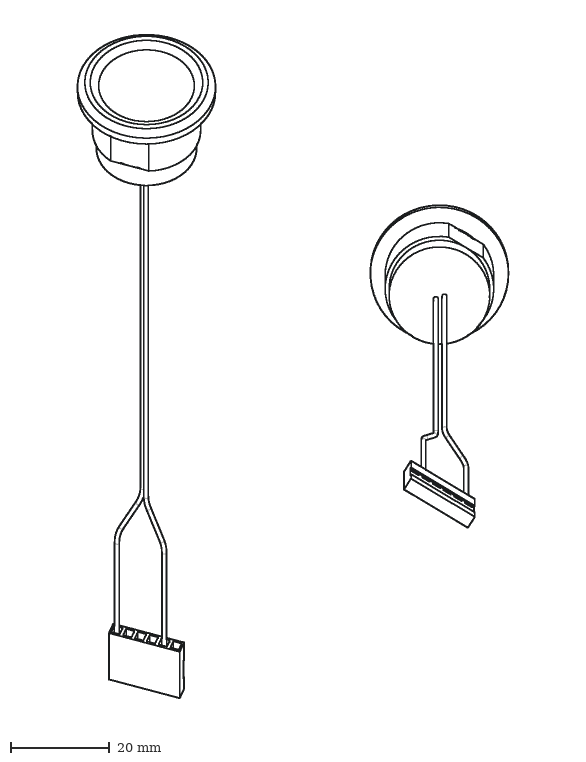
import cadquery as cq
import math

TOP_Z = 0.0
TOTAL_HEIGHT = 184.0

FLANGE_DIAMETER = 28.0
FLANGE_HEIGHT = 3.0
FLANGE_EDGE_WIDTH = 1.5
FLANGE_EDGE_HEIGHT = 1.2
RECESS_RIM_DIAMETER = 22.8
RECESS_FLOOR_DIAMETER = 19.4
RECESS_DEPTH = 1.0
BODY_DIAMETER = 20.4
HEAD_HEIGHT = 20.0
COLLAR_DIAMETER = 22.0
COLLAR_TOP_DEPTH = 3.85
COLLAR_BOTTOM_DEPTH = 14.65

CONNECTOR_THICKNESS = 2.7
CONNECTOR_HEIGHT = 14.2
SOCKET_COUNT = 6
SOCKET_PITCH = 2.54
SOCKET_SIZE = 1.8
SOCKET_DEPTH = 6.0
CONNECTOR_WIDTH = SOCKET_COUNT * SOCKET_PITCH
NOTCH_DEPTH = 0.3
NOTCH_HEIGHT = 5.3
NOTCH_CENTER_DEPTH = 8.0

WIRE_DIAMETER = 1.0
PAIR_OFFSET_X = 0.6
PAIR_OFFSET_Y = 0.7
PAIR_CENTER_X = -0.35
PAIR_CENTER_Y = -0.3
SPREAD_TOP_Z = TOP_Z - 127.2
SPREAD_BOTTOM_Z = TOP_Z - 140.4
LEFT_WIRE_SOCKET = 0
RIGHT_WIRE_SOCKET = 4
WIRE_BEND_RADIUS = 13.0

BODY_BOTTOM_Z = TOP_Z - HEAD_HEIGHT
CONNECTOR_BOTTOM_Z = TOP_Z - TOTAL_HEIGHT
CONNECTOR_TOP_Z = CONNECTOR_BOTTOM_Z + CONNECTOR_HEIGHT
SOCKET_FLOOR_Z = CONNECTOR_TOP_Z - SOCKET_DEPTH


def make_head():
    flange_radius = FLANGE_DIAMETER / 2
    body_radius = BODY_DIAMETER / 2
    profile = [
        (0, BODY_BOTTOM_Z),
        (body_radius, BODY_BOTTOM_Z),
        (body_radius, TOP_Z - FLANGE_HEIGHT),
        (flange_radius, TOP_Z - FLANGE_HEIGHT),
        (flange_radius, TOP_Z - FLANGE_EDGE_HEIGHT),
        (flange_radius - FLANGE_EDGE_WIDTH, TOP_Z),
        (RECESS_RIM_DIAMETER / 2, TOP_Z),
        (RECESS_FLOOR_DIAMETER / 2, TOP_Z - RECESS_DEPTH),
        (0, TOP_Z - RECESS_DEPTH),
    ]
    turned = cq.Workplane("XZ").polyline(profile).close().revolve(360, (0, 0), (0, 1))
    collar_height = COLLAR_BOTTOM_DEPTH - COLLAR_TOP_DEPTH
    collar_base = cq.Workplane("XY", origin=(0, 0, TOP_Z - COLLAR_BOTTOM_DEPTH))
    collar = collar_base.circle(COLLAR_DIAMETER / 2).extrude(collar_height)
    flats = collar_base.rect(COLLAR_DIAMETER, BODY_DIAMETER).extrude(collar_height)
    return turned.union(collar.intersect(flats))


def make_connector():
    block = (
        cq.Workplane("XY", origin=(0, 0, CONNECTOR_BOTTOM_Z))
        .rect(CONNECTOR_WIDTH, CONNECTOR_THICKNESS)
        .extrude(CONNECTOR_HEIGHT)
    )
    notch_z = CONNECTOR_TOP_Z - NOTCH_CENTER_DEPTH
    notch = cq.Workplane(origin=(0, CONNECTOR_THICKNESS / 2, notch_z)).box(
        CONNECTOR_WIDTH, 2 * NOTCH_DEPTH, NOTCH_HEIGHT
    )
    sockets = (
        cq.Workplane("XY", origin=(0, 0, SOCKET_FLOOR_Z))
        .rarray(SOCKET_PITCH, 1, SOCKET_COUNT, 1)
        .rect(SOCKET_SIZE, SOCKET_SIZE)
        .extrude(SOCKET_DEPTH)
    )
    return block.cut(notch).cut(sockets)


def socket_x(index):
    return (index - (SOCKET_COUNT - 1) / 2) * SOCKET_PITCH


def make_wire(top_x, top_y, socket):
    """Round wire from the head to the floor of a socket, with a bend at each end of its slope."""
    end_x = socket_x(socket)
    start = cq.Vector(top_x, top_y, BODY_BOTTOM_Z)
    upper_corner = cq.Vector(top_x, top_y, SPREAD_TOP_Z)
    lower_corner = cq.Vector(end_x, 0, SPREAD_BOTTOM_Z)
    end = cq.Vector(end_x, 0, SOCKET_FLOOR_Z)

    down = cq.Vector(0, 0, -1)
    slope = (lower_corner - upper_corner).normalized()
    bend_angle = down.getAngle(slope)
    tangent_length = WIRE_BEND_RADIUS * math.tan(bend_angle / 2)
    corner_to_arc = WIRE_BEND_RADIUS / math.cos(bend_angle / 2) - WIRE_BEND_RADIUS
    inward = (slope - down).normalized()

    upper_in = upper_corner - down * tangent_length
    upper_mid = upper_corner + inward * corner_to_arc
    upper_out = upper_corner + slope * tangent_length
    lower_in = lower_corner - slope * tangent_length
    lower_mid = lower_corner - inward * corner_to_arc
    lower_out = lower_corner + down * tangent_length

    path = cq.Wire.assembleEdges([
        cq.Edge.makeLine(start, upper_in),
        cq.Edge.makeThreePointArc(upper_in, upper_mid, upper_out),
        cq.Edge.makeLine(upper_out, lower_in),
        cq.Edge.makeThreePointArc(lower_in, lower_mid, lower_out),
        cq.Edge.makeLine(lower_out, end),
    ])
    section = cq.Workplane("XY", origin=start.toTuple()).circle(WIRE_DIAMETER / 2)
    return section.sweep(cq.Workplane(path))


head = make_head()
connector = make_connector()
wires = [
    make_wire(PAIR_CENTER_X - PAIR_OFFSET_X, PAIR_CENTER_Y + PAIR_OFFSET_Y, LEFT_WIRE_SOCKET),
    make_wire(PAIR_CENTER_X + PAIR_OFFSET_X, PAIR_CENTER_Y - PAIR_OFFSET_Y, RIGHT_WIRE_SOCKET),
]

result = cq.Compound.makeCompound([
    head.val(),
    connector.val(),
    *[wire.val() for wire in wires],
])